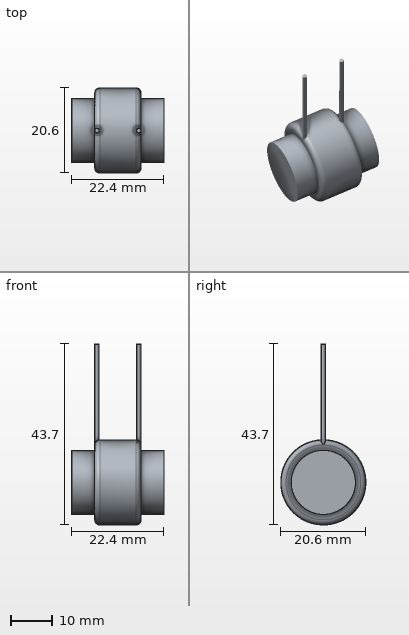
import cadquery as cq

core_length = 22.35
core_diameter = 15.5

winding_width = core_length / 2
winding_diameter = 20.58
winding_edge_radius = 1.25

total_height = 43.7
lead_diameter = 1.1
lead_top = total_height - winding_diameter / 2
lead_offset = (winding_width - lead_diameter) / 2
lead_bottom = core_diameter / 2


def cylinder_along_x(diameter, length):
    return (
        cq.Workplane("YZ", origin=(-length / 2, 0, 0))
        .circle(diameter / 2)
        .extrude(length)
    )


def lead(x):
    return (
        cq.Workplane("XY", origin=(x, 0, lead_bottom))
        .circle(lead_diameter / 2)
        .extrude(lead_top - lead_bottom)
    )


core = cylinder_along_x(core_diameter, core_length)
winding = cylinder_along_x(winding_diameter, winding_width).edges().fillet(winding_edge_radius)

result = core.union(winding)
for side in (-1, 1):
    result = result.union(lead(side * lead_offset))